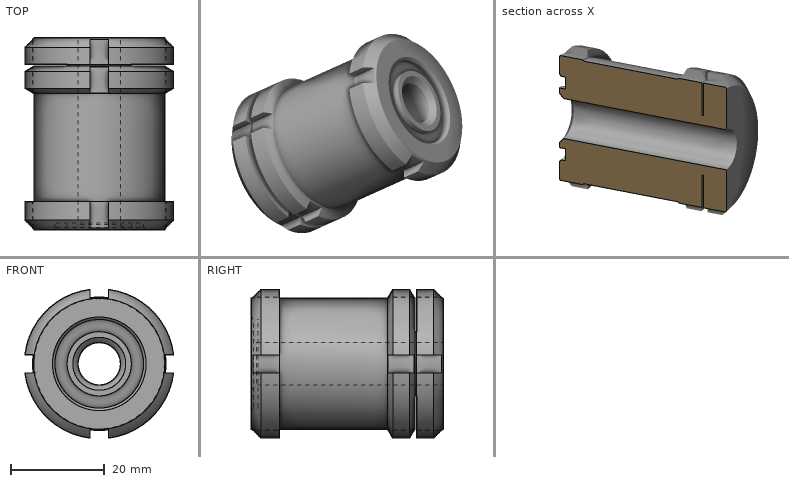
import math

import cadquery as cq

total_length = 41.0
nut_length = 6.0
nut_gap = 0.3
rear_nut_length = 5.7

nut_diameter = 32.0
nut_face_diameter = 27.8
body_diameter = 28.0
slot_floor_diameter = 28.5
sleeve_diameter = 13.7
bore_diameter = 9.0
bore_mouth_diameter = 11.3
recess_mouth_diameter = 20.0
recess_diameter = 18.92

slot_width = 3.85
slot_count = 4
recess_depth = 1.5

middle_chamfer_angle = 30.0
end_chamfer = (nut_diameter - nut_face_diameter) / 2
middle_chamfer = end_chamfer * math.tan(math.radians(middle_chamfer_angle))

rear_nut_start = total_length - rear_nut_length
middle_nut_end = rear_nut_start - nut_gap
middle_nut_start = middle_nut_end - nut_length


def cone(start, length, start_diameter, end_diameter):
    """Solid of revolution about Y whose diameter changes evenly along its length."""
    profile = [
        (0, start),
        (start_diameter / 2, start),
        (end_diameter / 2, start + length),
        (0, start + length),
    ]
    return cq.Workplane("XY").polyline(profile).close().revolve(360, (0, 0, 0), (0, 1, 0))


def cylinder(start, length, diameter):
    """Cylinder along Y beginning at the given station."""
    return cone(start, length, diameter, diameter)


def slotted_nut(start, length, front_chamfer, rear_chamfer):
    """Round nut with chamfered rims and spanner slots around its edge."""
    end = start + length
    rim_start = start + front_chamfer
    rim_end = end - rear_chamfer
    nut = cylinder(rim_start, rim_end - rim_start, nut_diameter)
    if front_chamfer > 0:
        nut = nut.union(cone(start, front_chamfer, nut_face_diameter, nut_diameter))
    if rear_chamfer > 0:
        nut = nut.union(cone(rim_end, rear_chamfer, nut_diameter, nut_face_diameter))

    slot = cq.Workplane("XY").box(slot_width, length, nut_diameter, centered=(True, False, False))
    slot = slot.translate((0, start, 0)).cut(cylinder(start, length, slot_floor_diameter))
    for index in range(slot_count):
        nut = nut.cut(slot.rotate((0, 0, 0), (0, 1, 0), index * 360 / slot_count))
    return nut


def housing():
    """Body with the front and middle nuts and the chamfered recess in its front face."""
    solid = cylinder(0, middle_nut_end, body_diameter)
    solid = solid.union(slotted_nut(0, nut_length, end_chamfer, 0))
    solid = solid.union(slotted_nut(middle_nut_start, nut_length, middle_chamfer, middle_chamfer))
    recess_chamfer_depth = (recess_mouth_diameter - recess_diameter) / 2
    recess_chamfer = cone(0, recess_chamfer_depth, recess_mouth_diameter, recess_diameter)
    return solid.cut(cylinder(0, recess_depth, recess_diameter)).cut(recess_chamfer)


def bore():
    """Through bore with a 45 degree countersink at the front."""
    countersink_depth = (bore_mouth_diameter - bore_diameter) / 2
    countersink = cone(0, countersink_depth, bore_mouth_diameter, bore_diameter)
    return cylinder(0, total_length, bore_diameter).union(countersink)


rear_nut = slotted_nut(rear_nut_start, rear_nut_length, 0, end_chamfer)
sleeve = cylinder(0, total_length, sleeve_diameter)

result = housing().union(sleeve).union(rear_nut).cut(bore())